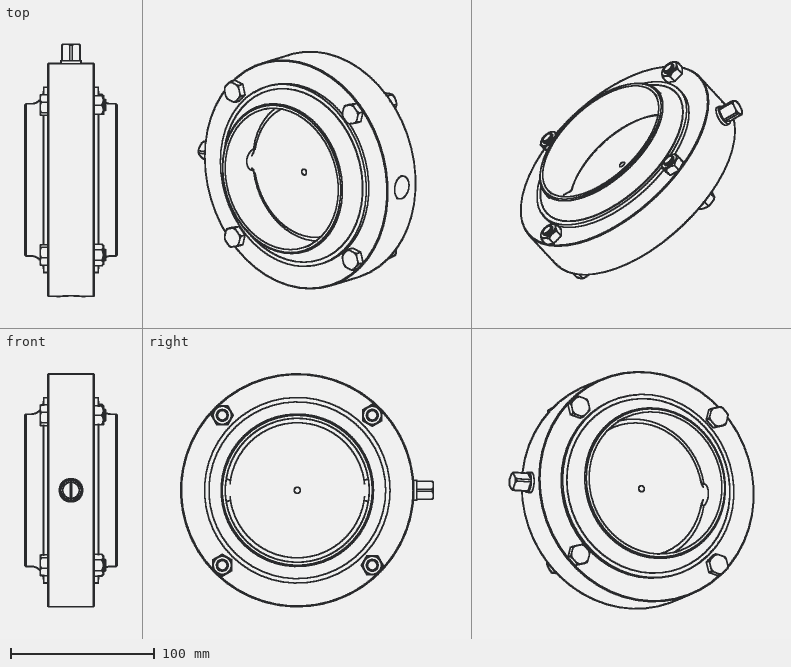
import cadquery as cq
import math


ring_diameter = 162.0
ring_width = 32.3
ring_chamfer = 0.5

overall_length = 64.0
bore_diameter = 100.0
tube_diameter = 106.0
tube_end_chamfer = 0.9
liner_flange_diameter = 129.0
liner_flange_half_width = 19.0
flare_diameter = 122.8
flare_radius = (flare_diameter - tube_diameter) / 2
flare_foot = 19.3

disc_center_half = 7.0
disc_face_diameter = 93.9
disc_face_edge_half = 3.2
disc_rim_half = 0.9
dimple_diameter = 4.2
dimple_depth = 0.2

hub_radius = 7.7
hub_end_center_y = 48.0
hub_blend_radius = 14.0
hub_root_y = 56.2
blend_plate_radius = 80.7
blend_hub_end_y = 79.0

shaft_diameter = 14.0
overall_shaft_span = 175.5
square_bottom = 83.0
square_size = 10.0
square_corner_diameter = 12.6
square_end_chamfer = 0.9

hole_diameter = 16.1
hole_depth = 14.0
tip_diameter = 11.4
tip_chamfer = (shaft_diameter - tip_diameter) / 2
slot_width = 0.9
slot_depth = 0.9

bolt_circle_radius = 73.7
bolt_count = 4
hex_size = 13.0
head_height = 5.3
nut_height = 6.5
head_corner_cut = 0.7
nut_corner_cut = 1.2
head_turn = -15
thread_diameter = 8.0
thread_end = 24.2
thread_chamfer = 0.7

ring_radius = ring_diameter / 2
shaft_top = overall_shaft_span - ring_radius
ring_half = ring_width / 2
bore_radius = bore_diameter / 2
shaft_radius = shaft_diameter / 2


def cylinder_x(radius, start, length):
    return cq.Workplane("YZ").workplane(offset=start).circle(radius).extrude(length)


def cylinder_y(radius, start, length):
    return cq.Workplane("XZ").workplane(offset=-start).circle(radius).extrude(-length)


def make_body():
    ring = cylinder_x(ring_radius, -ring_half, ring_width).faces("|X").chamfer(ring_chamfer)
    half_length = overall_length / 2
    tube_radius = tube_diameter / 2
    flare_end = flare_foot + flare_radius
    arc_step = flare_radius * math.sqrt(0.5)
    liner = (
        cq.Workplane("XY")
        .moveTo(0, bore_radius)
        .lineTo(half_length, bore_radius)
        .lineTo(half_length, tube_radius - tube_end_chamfer)
        .lineTo(half_length - tube_end_chamfer, tube_radius)
        .lineTo(flare_end, tube_radius)
        .threePointArc(
            (flare_end - arc_step, flare_diameter / 2 - arc_step),
            (flare_foot, flare_diameter / 2),
        )
        .lineTo(liner_flange_half_width, flare_diameter / 2)
        .lineTo(liner_flange_half_width, liner_flange_diameter / 2)
        .lineTo(0, liner_flange_diameter / 2)
        .close()
        .revolve(360, (0, 0, 0), (1, 0, 0))
    )
    bore = cylinder_x(bore_radius, -half_length, overall_length)
    return ring.cut(bore).union(liner).union(liner.mirror("YZ"))


def make_cone_plate(radius):
    slope = (disc_center_half - disc_face_edge_half) / (disc_face_diameter / 2)
    edge_half = disc_center_half - slope * radius
    return (
        cq.Workplane("XY")
        .moveTo(-disc_center_half, 0)
        .lineTo(-edge_half, radius)
        .lineTo(edge_half, radius)
        .lineTo(disc_center_half, 0)
        .close()
        .revolve(360, (0, 0, 0), (1, 0, 0))
    )


def make_hub_pair(outer_end):
    end = cq.Workplane("XY").sphere(hub_radius).translate((0, hub_end_center_y, 0))
    hub = end.union(cylinder_y(hub_radius, hub_end_center_y, outer_end - hub_end_center_y))
    return hub.union(hub.mirror("XZ"))


def make_disc():
    face_radius = disc_face_diameter / 2
    plate = make_cone_plate(blend_plate_radius).union(make_hub_pair(blend_hub_end_y))
    blend_edges = [edge for edge in plate.edges().vals() if edge.geomType() == "BSPLINE"]
    plate = plate.newObject(blend_edges).fillet(hub_blend_radius)
    disc = plate.intersect(cylinder_x(face_radius, -ring_half, ring_width))
    band = (
        cq.Workplane("XY")
        .moveTo(-disc_face_edge_half, 0)
        .lineTo(-disc_face_edge_half, face_radius)
        .lineTo(-disc_rim_half, bore_radius)
        .lineTo(disc_rim_half, bore_radius)
        .lineTo(disc_face_edge_half, face_radius)
        .lineTo(disc_face_edge_half, 0)
        .close()
        .revolve(360, (0, 0, 0), (1, 0, 0))
    )
    disc = disc.union(band).union(make_hub_pair(hub_root_y))
    for start in (-disc_center_half, disc_center_half - dimple_depth):
        disc = disc.cut(cylinder_x(dimple_diameter / 2, start, dimple_depth))
    return disc


def make_shaft_stub(inner_end, outer_end):
    return cylinder_y(shaft_radius, inner_end, outer_end - inner_end)


def make_square():
    length = shaft_top - square_bottom
    limit = cylinder_y(square_corner_diameter / 2, square_bottom, length)
    limit = limit.faces(">Y").chamfer(square_end_chamfer)
    square = (
        cq.Workplane("XZ", origin=(0, square_bottom, 0))
        .transformed(rotate=(0, 0, 45))
        .rect(square_size, square_size)
        .extrude(-length)
    )
    return square.intersect(limit)


def make_hex(start, height, corner_cut, cut_face):
    corner_diameter = hex_size / math.cos(math.pi / 6)
    prism = cq.Workplane("YZ").workplane(offset=start).polygon(6, corner_diameter).extrude(height)
    limit = cylinder_x(corner_diameter / 2, start, height).faces(cut_face).chamfer(corner_cut)
    return prism.intersect(limit)


def make_bolt():
    head = make_hex(-ring_half - head_height, head_height, head_corner_cut, "<X")
    head = head.rotate((0, 0, 0), (1, 0, 0), head_turn)
    nut = make_hex(ring_half, nut_height, nut_corner_cut, ">X")
    thread = cylinder_x(thread_diameter / 2, ring_half, thread_end - ring_half)
    thread = thread.faces(">X").chamfer(thread_chamfer)
    offset = bolt_circle_radius * math.sqrt(0.5)
    return [item.translate((0, -offset, offset)) for item in (head, nut, thread)]


def make_lower_shaft():
    tip_end = hole_depth - ring_radius - tip_chamfer
    shaft = make_shaft_stub(tip_end, -hub_end_center_y).faces("<Y").chamfer(tip_chamfer)
    slot = cq.Workplane("XY").box(slot_width, slot_depth, shaft_diameter)
    return shaft.cut(slot.translate((0, tip_end + slot_depth / 2, 0)))


result = make_body()
for index in range(bolt_count):
    for item in make_bolt():
        result = result.union(item.rotate((0, 0, 0), (1, 0, 0), index * 360 / bolt_count))
result = result.cut(cylinder_y(hole_diameter / 2, -ring_radius, hole_depth))
result = result.union(make_disc())
result = result.union(make_shaft_stub(hub_end_center_y, square_bottom)).union(make_square())
result = result.union(make_lower_shaft())